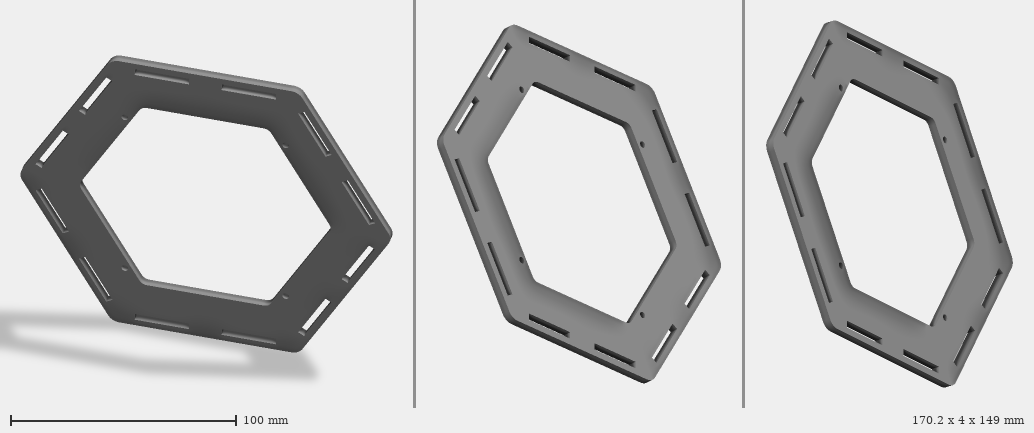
import cadquery as cq
import math

outer_width = 170.2
thickness = 4.0
outer_corner_radius = 6.0
opening_across_flats = 101.0
opening_corner_radius = 4.0
slot_length = 25.2
slot_width = 3.2
slot_spacing = 40.0
slot_edge_margin = 3.0
hole_diameter = 3.0
hole_spacing_x = 74.0
hole_spacing_z = 86.0

SIDE_COUNT = 6
side_angle = 360 / SIDE_COUNT
flat_to_corner = 1 / math.cos(math.radians(side_angle / 2))
sharp_outer_width = outer_width + 2 * outer_corner_radius * (flat_to_corner - 1)
outer_across_flats = sharp_outer_width / flat_to_corner
slot_center_offset = outer_across_flats / 2 - slot_edge_margin - slot_width / 2


def face_plane():
    """Workplane in XZ at mid-thickness."""
    return cq.Workplane("XZ")


def hexagon_prism(across_flats, corner_radius):
    """Hexagonal prism with corners on the X axis and rounded edges along Y."""
    return (
        face_plane()
        .polygon(SIDE_COUNT, across_flats * flat_to_corner)
        .extrude(thickness / 2, both=True)
        .edges("|Y")
        .fillet(corner_radius)
    )


def edge_slots():
    """Cutters for a pair of through slots along each of the six sides."""
    top_pair = (
        face_plane()
        .pushPoints([(-slot_spacing / 2, slot_center_offset), (slot_spacing / 2, slot_center_offset)])
        .rect(slot_length, slot_width)
        .extrude(thickness, both=True)
    )
    cutters = cq.Workplane()
    for side in range(SIDE_COUNT):
        cutters = cutters.add(top_pair.rotate((0, 0, 0), (0, 1, 0), side * side_angle))
    return cutters.combine()


def mounting_holes():
    """Cutters for four through holes on a rectangle around the centre."""
    return (
        face_plane()
        .rect(hole_spacing_x, hole_spacing_z, forConstruction=True)
        .vertices()
        .circle(hole_diameter / 2)
        .extrude(thickness, both=True)
    )


plate = hexagon_prism(outer_across_flats, outer_corner_radius)
opening = hexagon_prism(opening_across_flats, opening_corner_radius)

result = plate.cut(opening).cut(edge_slots()).cut(mounting_holes())